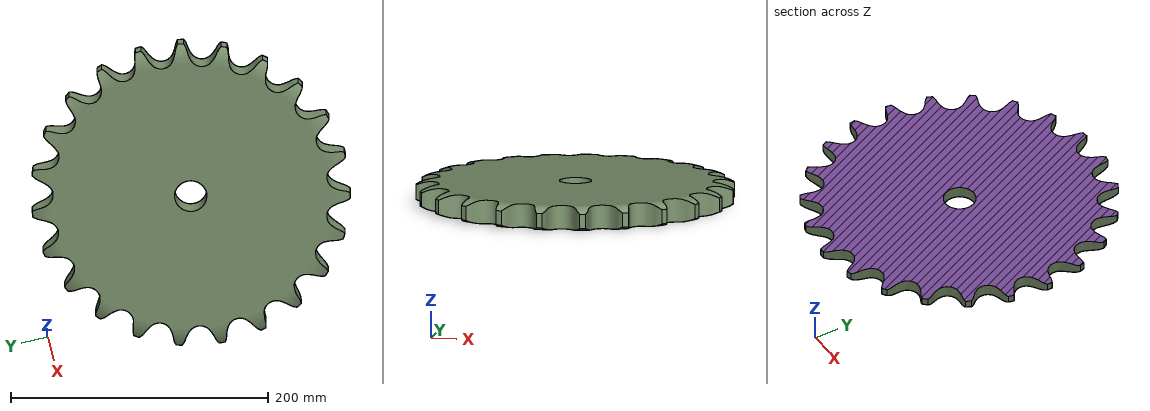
import cadquery as cq
import math

TEETH = 23
CHAIN_PITCH = 31.7
ROLLER_DIAMETER = 0.6 * CHAIN_PITCH
OUTER_WIDTH = 248
THICKNESS = 18.5
BORE_DIAMETER = 25.0
FACE_RADIUS = 109.5
TIP_THICKNESS = 11.2
SEAT_CLEARANCE = 0.037

HALF_PITCH_ANGLE = math.pi / TEETH
PITCH_RADIUS = CHAIN_PITCH / 2 / math.sin(HALF_PITCH_ANGLE)
SEAT_RADIUS = 0.5025 * ROLLER_DIAMETER + SEAT_CLEARANCE
SEAT_END_ANGLE = math.radians(35 + 60 / TEETH)
WORKING_SWEEP = math.radians(18 - 56 / TEETH)
WORKING_CENTRE_DISTANCE = 0.8 * ROLLER_DIAMETER
WORKING_RADIUS = WORKING_CENTRE_DISTANCE + SEAT_RADIUS
TOPPING_CENTRE_DISTANCE = 1.4 * ROLLER_DIAMETER


def polar(centre, radius, angle):
    return (centre[0] + radius * math.cos(angle), centre[1] + radius * math.sin(angle))


def flank_points():
    """Right flank of the tooth gap on the +Y axis, from the seat end to the tooth tip.

    The working and topping curves each have a middle point, and a straight joins them.
    """
    roller = (0, PITCH_RADIUS)
    seat_end = polar(roller, SEAT_RADIUS, -SEAT_END_ANGLE)

    working_centre = polar(roller, WORKING_CENTRE_DISTANCE, math.pi - SEAT_END_ANGLE)
    working_end_angle = WORKING_SWEEP - SEAT_END_ANGLE
    working_mid = polar(working_centre, WORKING_RADIUS, working_end_angle - WORKING_SWEEP / 2)
    working_end = polar(working_centre, WORKING_RADIUS, working_end_angle)

    topping_centre = polar(roller, TOPPING_CENTRE_DISTANCE, -HALF_PITCH_ANGLE)
    offset_x = topping_centre[0] - working_end[0]
    offset_y = topping_centre[1] - working_end[1]
    cos_normal = math.cos(working_end_angle)
    sin_normal = math.sin(working_end_angle)
    topping_radius = offset_x * cos_normal + offset_y * sin_normal
    straight_length = offset_y * cos_normal - offset_x * sin_normal
    topping_start = polar(working_end, straight_length, working_end_angle + math.pi / 2)

    width_angle = math.pi / 2 - HALF_PITCH_ANGLE / 2
    centre_reach = topping_centre[0] * math.cos(width_angle) + topping_centre[1] * math.sin(width_angle)
    topping_start_angle = working_end_angle + math.pi
    topping_end_angle = width_angle + math.acos((OUTER_WIDTH / 2 - centre_reach) / topping_radius)
    topping_mid_angle = (topping_start_angle + topping_end_angle) / 2
    topping_mid = polar(topping_centre, topping_radius, topping_mid_angle)
    tip = polar(topping_centre, topping_radius, topping_end_angle)
    return [seat_end, working_mid, working_end, topping_start, topping_mid, tip]


RIGHT_FLANK = flank_points()
LEFT_FLANK = [(-x, y) for x, y in RIGHT_FLANK]
TIP_RADIUS = math.hypot(*RIGHT_FLANK[-1])


def turned(point, angle):
    """Point turned about the Z axis."""
    cos_angle = math.cos(angle)
    sin_angle = math.sin(angle)
    x, y = point
    return (x * cos_angle - y * sin_angle, x * sin_angle + y * cos_angle)


def toothed_blank():
    """Plate with the complete tooth outline, centred on Z = 0."""
    seat_bottom = (0, PITCH_RADIUS - SEAT_RADIUS)
    first_tip = LEFT_FLANK[-1]
    outline = cq.Workplane("XY").workplane(offset=-THICKNESS / 2).moveTo(*first_tip)
    for gap in range(TEETH):
        gap_angle = -gap * 2 * HALF_PITCH_ANGLE

        left = [turned(point, gap_angle) for point in LEFT_FLANK]
        seat_start, working_mid, working_end, topping_start, topping_mid, _ = left
        right = [turned(point, gap_angle) for point in RIGHT_FLANK]
        outline = (
            outline.threePointArc(topping_mid, topping_start)
            .lineTo(*working_end)
            .threePointArc(working_mid, seat_start)
            .threePointArc(turned(seat_bottom, gap_angle), right[0])
        )

        _, working_mid, working_end, topping_start, topping_mid, tip = right
        outline = (
            outline.threePointArc(working_mid, working_end)
            .lineTo(*topping_start)
            .threePointArc(topping_mid, tip)
        )

        tip_middle = turned((0, TIP_RADIUS), gap_angle - HALF_PITCH_ANGLE)
        next_tip = turned(first_tip, gap_angle - 2 * HALF_PITCH_ANGLE)
        outline = outline.threePointArc(tip_middle, next_tip)
    return outline.close().extrude(THICKNESS)


def tooth_side_envelope():
    """Disc whose rim thins along arcs tangent to the flat faces."""
    half_thickness = THICKNESS / 2
    half_tip = TIP_THICKNESS / 2
    rim_width = TIP_RADIUS - FACE_RADIUS
    side_drop = half_thickness - half_tip
    side_radius = (rim_width**2 + side_drop**2) / (2 * side_drop)
    mid_angle = math.asin(rim_width / side_radius) / 2
    mid_radius = FACE_RADIUS + side_radius * math.sin(mid_angle)
    mid_height = half_thickness - side_radius * (1 - math.cos(mid_angle))
    return (
        cq.Workplane("XZ")
        .moveTo(0, -half_thickness)
        .lineTo(FACE_RADIUS, -half_thickness)
        .threePointArc((mid_radius, -mid_height), (TIP_RADIUS, -half_tip))
        .lineTo(TIP_RADIUS, half_tip)
        .threePointArc((mid_radius, mid_height), (FACE_RADIUS, half_thickness))
        .lineTo(0, half_thickness)
        .close()
        .revolve(360, (0, 0, 0), (0, 1, 0))
    )


def bore():
    return cq.Workplane("XY").circle(BORE_DIAMETER / 2).extrude(THICKNESS, both=True)


result = toothed_blank().intersect(tooth_side_envelope()).cut(bore())